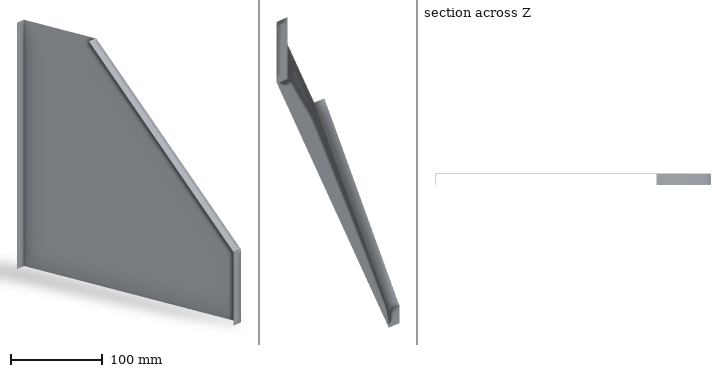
import cadquery as cq
import math

width = 300.0
height = 284.5
flange_height = 12.0
thickness = 0.5
top_edge_length = 99.3
slope_end_gap = 0.5

depth = thickness + flange_height

flange_offset = thickness / math.sqrt(2)
plate_height = height - flange_offset
slope_run = width - top_edge_length
right_edge_height = plate_height - slope_run


def extrude_outline(points, length):
    """Extrude an XZ outline towards -Y from the back face of the plate."""
    return cq.Workplane("XZ").polyline(points).close().extrude(length)


plate_outline = [
    (0, 0),
    (width, 0),
    (width, right_edge_height),
    (top_edge_length, plate_height),
    (0, plate_height),
]
plate = extrude_outline(plate_outline, thickness)

left_flange_outline = [
    (0, 0),
    (thickness, 0),
    (thickness, plate_height),
    (0, plate_height),
]
left_flange = extrude_outline(left_flange_outline, depth)

right_flange_outline = [
    (width - thickness, 0),
    (width, 0),
    (width, right_edge_height),
    (width - thickness, right_edge_height + thickness),
]
right_flange = extrude_outline(right_flange_outline, depth)

slope_end_x = width - slope_end_gap - flange_offset
slope_end_z = right_edge_height + slope_end_gap + flange_offset
slope_flange_outline = [
    (top_edge_length, plate_height),
    (slope_end_x, slope_end_z),
    (width - slope_end_gap, slope_end_z + flange_offset),
    (top_edge_length + flange_offset, height),
]
slope_flange = extrude_outline(slope_flange_outline, depth)

result = plate.union(left_flange).union(right_flange).union(slope_flange)